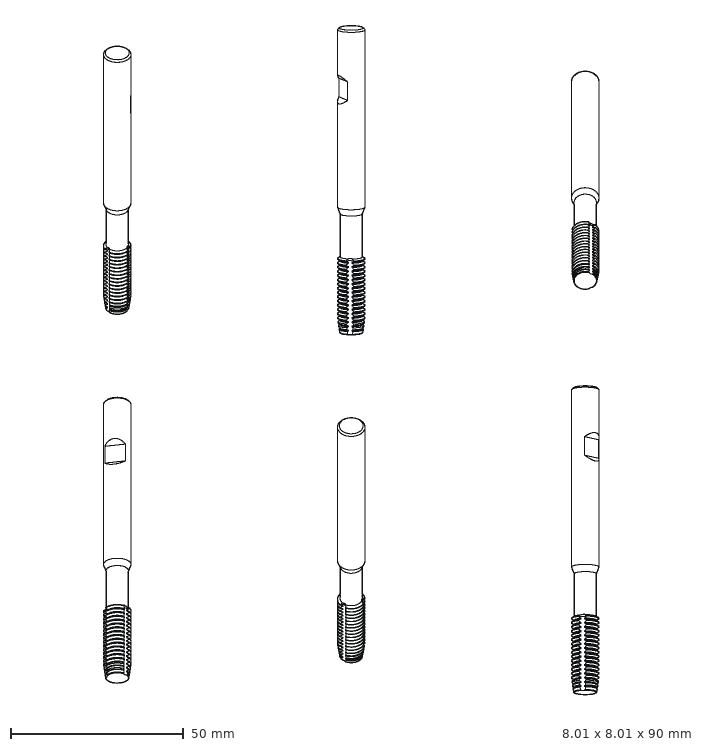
import cadquery as cq
import math

total_length = 90.0
shank_radius = 4.005

shank_chamfer = 0.5
shank_bottom_z = 37.1
neck_top_z = 35.1
neck_radius = 3.2

flat_center_z = 72.1
flat_floor_length = 5.5
flat_depth = 1.4

thread_length = 22.5
ring_count = 18
pitch = thread_length / ring_count
crest_radius = shank_radius
root_radius = neck_radius
flank_half_angle = 30.0
flank_height = (crest_radius - root_radius) * math.tan(math.radians(flank_half_angle))
pitch_to_crest_flat = 8
crest_flat = pitch / pitch_to_crest_flat
lead_length = 4.5
tip_radius = 3.375

joint_z = thread_length - pitch / 2

groove_count = 3
first_groove_angle = -90.0
groove_radius = 1.1
groove_floor_radius = 3.1
groove_center_radius = groove_floor_radius + groove_radius


def revolve_profile(points):
    """Revolve a closed (radius, z) outline around the Z axis."""
    return cq.Workplane("XZ").polyline(points).close().revolve(360, (0, 0), (0, 1))


def make_flat_cutter():
    """Trapezoidal notch with 45 degree ends, running across the whole shank."""
    floor_y = shank_radius - flat_depth
    half_floor = flat_floor_length / 2
    half_mouth = half_floor + flat_depth
    return (
        cq.Workplane("YZ")
        .moveTo(floor_y, flat_center_z - half_floor)
        .lineTo(shank_radius, flat_center_z - half_mouth)
        .lineTo(shank_radius, flat_center_z + half_mouth)
        .lineTo(floor_y, flat_center_z + half_floor)
        .close()
        .extrude(shank_radius, both=True)
    )


def make_groove_cutters():
    """Round-bottomed straight grooves, evenly spaced and as long as the thread."""
    return (
        cq.Workplane("XY")
        .polarArray(groove_center_radius, first_groove_angle, 360, groove_count)
        .circle(groove_radius)
        .extrude(thread_length)
    )


def make_shank():
    """Shank and neck, flaring out to the crest of the uppermost ring at the joint."""
    outline = [
        (0, joint_z),
        (crest_radius, joint_z),
        (crest_radius, joint_z + crest_flat / 2),
        (root_radius, joint_z + crest_flat / 2 + flank_height),
        (neck_radius, neck_top_z),
        (shank_radius, shank_bottom_z),
        (shank_radius, total_length - shank_chamfer),
        (shank_radius - shank_chamfer, total_length),
        (0, total_length),
    ]
    return revolve_profile(outline).cut(make_flat_cutter()).cut(make_groove_cutters())


def make_lead_envelope():
    """Cone widening from the tip to the full crest radius, then a cylinder up to the joint."""
    return revolve_profile([
        (0, 0),
        (tip_radius, 0),
        (crest_radius, lead_length),
        (crest_radius, joint_z),
        (0, joint_z),
    ])


def make_thread_section():
    """Ringed core below the joint, trimmed to the tapered lead and cut by the grooves."""
    outline = [(0, 0), (root_radius, 0)]
    for ring in range(ring_count):
        crest_z = (ring + 0.5) * pitch
        outline += [
            (root_radius, crest_z - crest_flat / 2 - flank_height),
            (crest_radius, crest_z - crest_flat / 2),
            (crest_radius, crest_z + crest_flat / 2),
            (root_radius, crest_z + crest_flat / 2 + flank_height),
        ]
    outline += [(root_radius, thread_length), (0, thread_length)]
    return revolve_profile(outline).intersect(make_lead_envelope()).cut(make_groove_cutters())


shank = make_shank().solids()
thread_section = make_thread_section().solids()
result = cq.Compound.makeCompound([shank.val(), thread_section.val()])